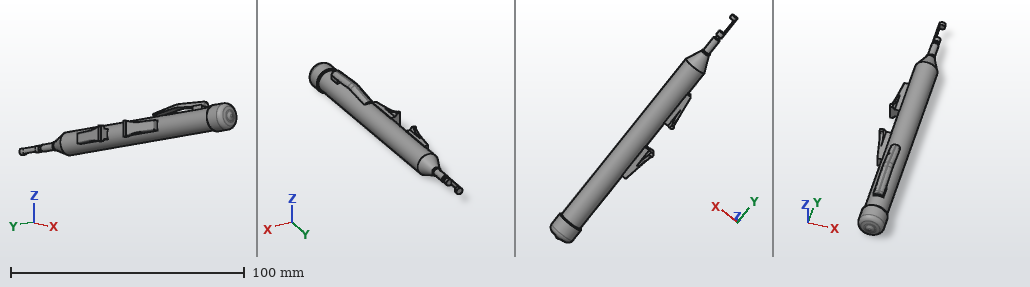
import cadquery as cq
import math

total_length = 123.5

barrel_radius = 5.1
barrel_front = 96.0
nose_front = 103.0
collar_radius = 2.0
collar_length = 0.7
shaft_radius = 1.6
shaft_front = 111.3
shaft_chamfer = 0.4

neck_rear_radius = 0.7
neck_front_radius = 1.1
probe_radius = 1.5
probe_rear = 112.4
cutout_rear = 114.6
cutout_front = 121.9
cutout_wall = 0.6

cap_radius = 5.8
cap_front = 9.6
cap_chamfer = 0.4
cap_round_start = 3.6
cap_round_radius = 2.5
cap_round_angle = math.radians(68)
cap_rim_radius = 2.7
cap_rim_height = 1.0
button_radius = 2.1
button_height = 0.9
button_tip_radius = 0.6
button_tip_height = 0.19

trigger_length = 16.0
trigger_toe = 6.8
trigger_lip_length = 1.5
trigger_lip_step = 0.4
trigger_lip_chamfer = 0.4
trigger_stem_half_width = 2.2
trigger_head_half_width = 3.5
trigger_flare_depth = 1.0
trigger_edge_round = 0.4
trigger_flare_length = 8.6
front_trigger_heel = 68.4
front_trigger_reach = 9.0
front_trigger_flare = 6.7
rear_trigger_heel = 55.1
rear_trigger_reach = cap_radius + 3.8
rear_trigger_flare = 6.9

clip_half_width = 2.2
clip_flat_half_width = 0.2
clip_top_height = 8.9
clip_ridge = 30.6
clip_ridge_radius = 10.7
clip_front = 45.0
clip_front_height = 6.4
clip_front_thickness = 1.2
clip_front_rake = 0.7
clip_rear = 15.2
clip_rear_height = 8.0
clip_rear_thickness = 2.2
clip_ridge_thickness = 1.9
clip_end_round = 0.7
clip_foot_front = 21.0
clip_foot_rear = 15.6
clip_foot_overlap = 0.6


def turned_body():
    """Cap, barrel, nose, shaft and probe as one revolved profile of (radius, Y)."""
    round_center = cap_radius - cap_round_radius

    def cap_round_point(angle):
        return (
            round_center + cap_round_radius * math.cos(angle),
            cap_round_start - cap_round_radius * math.sin(angle),
        )

    profile = (
        cq.Workplane("XY")
        .moveTo(0, 0)
        .lineTo(button_tip_radius, button_tip_height)
        .lineTo(button_radius, button_height)
        .lineTo(cap_rim_radius, cap_rim_height)
        .lineTo(*cap_round_point(cap_round_angle))
        .threePointArc(cap_round_point(cap_round_angle / 2), cap_round_point(0))
        .lineTo(cap_radius, cap_front - cap_chamfer)
        .lineTo(cap_radius - cap_chamfer, cap_front)
        .lineTo(barrel_radius, cap_front)
        .lineTo(barrel_radius, barrel_front)
        .lineTo(collar_radius, nose_front)
        .lineTo(collar_radius, nose_front + collar_length)
        .lineTo(shaft_radius, nose_front + collar_length)
        .lineTo(shaft_radius, shaft_front - shaft_chamfer)
        .lineTo(shaft_radius - shaft_chamfer, shaft_front)
        .lineTo(neck_rear_radius, shaft_front)
        .lineTo(neck_front_radius, probe_rear)
        .lineTo(probe_radius, probe_rear)
        .lineTo(probe_radius, total_length)
        .lineTo(0, total_length)
        .close()
    )
    return profile.revolve(360, (0, 0, 0), (0, 1, 0))


def probe_cutout():
    """Box that leaves a thin wall on the -X side between the two probe ends."""
    return cq.Workplane("XY").box(
        2 * probe_radius,
        cutout_front - cutout_rear,
        2 * probe_radius,
        centered=(False, False, True),
    ).translate((cutout_wall - probe_radius, cutout_rear, 0))


def trigger(heel_y, toe_direction, reach, flare_start):
    """Wedge whose high, wide heel is at heel_y and whose low, narrow toe points along Y."""

    def along(distance):
        return heel_y + toe_direction * distance

    wedge = (
        cq.Workplane("XY")
        .polyline(
            [
                (0, along(0)),
                (trigger_lip_chamfer - reach, along(0)),
                (-reach, along(trigger_lip_chamfer)),
                (-reach, along(trigger_lip_length)),
                (trigger_lip_step - reach, along(trigger_lip_length + trigger_lip_step)),
                (-trigger_toe, along(trigger_length)),
                (0, along(trigger_length)),
            ]
        )
        .close()
        .extrude(trigger_head_half_width, both=True)
    )

    stem = trigger_stem_half_width
    head = trigger_head_half_width
    flare_end = flare_start + trigger_flare_depth
    section = (
        cq.Workplane("XZ", origin=(0, min(along(0), along(trigger_length)), 0))
        .polyline(
            [
                (0, stem),
                (-flare_start, stem),
                (-flare_end, head),
                (-reach, head),
                (-reach, -head),
                (-flare_end, -head),
                (-flare_start, -stem),
                (0, -stem),
            ]
        )
        .close()
        .extrude(-trigger_length)
    )

    flare_width = head - stem
    arc_run = trigger_flare_length - trigger_lip_length
    arc_radius = (arc_run**2 + flare_width**2) / (2 * flare_width)
    arc_half_run = arc_run / 2
    arc_half_width = stem + arc_radius - math.sqrt(arc_radius**2 - arc_half_run**2)
    outline = (
        cq.Workplane("YZ")
        .moveTo(along(0), -head)
        .lineTo(along(0), head)
        .lineTo(along(trigger_lip_length), head)
        .threePointArc(
            (along(trigger_flare_length - arc_half_run), arc_half_width),
            (along(trigger_flare_length), stem),
        )
        .lineTo(along(trigger_length), stem)
        .lineTo(along(trigger_length), -stem)
        .lineTo(along(trigger_flare_length), -stem)
        .threePointArc(
            (along(trigger_flare_length - arc_half_run), -arc_half_width),
            (along(trigger_lip_length), -head),
        )
        .close()
        .extrude(-reach)
    )
    body = wedge.intersect(section).intersect(outline)

    thumb_face = cq.selectors.NearestToPointSelector(
        (-(reach + trigger_toe) / 2, along(trigger_length / 2), 0)
    )
    lip_edge = "<Y" if toe_direction > 0 else ">Y"
    return body.faces(thumb_face).edges(f"not {lip_edge}").fillet(trigger_edge_round)


def clip():
    """Bent spring arm with an arched top, standing on a foot near its rear end."""
    rear_angle = math.atan2(clip_top_height - clip_rear_height, clip_ridge - clip_rear)
    front_angle = math.atan2(clip_top_height - clip_front_height, clip_front - clip_ridge)
    ridge_center = clip_top_height - clip_ridge_radius

    def ridge_point(angle, depth=0.0):
        radius = clip_ridge_radius - depth
        return (clip_ridge + radius * math.sin(angle), ridge_center + radius * math.cos(angle))

    rear_top = (clip_rear, ridge_point(-rear_angle)[1]
                - (ridge_point(-rear_angle)[0] - clip_rear) * math.tan(rear_angle))
    front_top = (clip_front, ridge_point(front_angle)[1]
                 - (clip_front - ridge_point(front_angle)[0]) * math.tan(front_angle))
    arm_underside = rear_top[1] - clip_rear_thickness

    side = (
        cq.Workplane("YZ")
        .moveTo(*rear_top)
        .lineTo(*ridge_point(-rear_angle))
        .threePointArc(ridge_point(0), ridge_point(front_angle))
        .lineTo(*front_top)
        .lineTo(clip_front - clip_front_rake, front_top[1] - clip_front_thickness)
        .lineTo(*ridge_point(front_angle, clip_ridge_thickness))
        .threePointArc(
            ridge_point(0, clip_ridge_thickness), ridge_point(-rear_angle, clip_ridge_thickness)
        )
        .lineTo(clip_rear, arm_underside)
        .close()
        .extrude(clip_half_width, both=True)
    )

    path = (
        cq.Workplane("YZ")
        .moveTo(*rear_top)
        .lineTo(*ridge_point(-rear_angle))
        .threePointArc(ridge_point(0), ridge_point(front_angle))
        .lineTo(*front_top)
    )
    arch_radius = clip_half_width - clip_flat_half_width
    arch_mid_x = clip_flat_half_width + arch_radius * math.sin(math.pi / 4)
    arch_mid_z = arch_radius * (math.cos(math.pi / 4) - 1)
    section_depth = 2 * clip_rear_thickness
    arch = (
        cq.Workplane("XZ", origin=(0, rear_top[0], rear_top[1]))
        .moveTo(-clip_flat_half_width, 0)
        .lineTo(clip_flat_half_width, 0)
        .threePointArc((arch_mid_x, arch_mid_z), (clip_half_width, -arch_radius))
        .lineTo(clip_half_width, -section_depth)
        .lineTo(-clip_half_width, -section_depth)
        .lineTo(-clip_half_width, -arch_radius)
        .threePointArc((-arch_mid_x, arch_mid_z), (-clip_flat_half_width, 0))
        .close()
        .sweep(path)
    )
    arm = side.intersect(arch).faces("<Y").edges("not <Z").fillet(clip_end_round)

    foot = cq.Workplane("XY").box(
        2 * clip_half_width,
        clip_foot_front - clip_foot_rear,
        arm_underside + clip_foot_overlap,
        centered=(True, False, False),
    ).translate((0, clip_foot_rear, 0))
    return arm.union(foot)


result = (
    turned_body()
    .cut(probe_cutout())
    .union(trigger(front_trigger_heel, 1, front_trigger_reach, front_trigger_flare))
    .union(trigger(rear_trigger_heel, -1, rear_trigger_reach, rear_trigger_flare))
    .union(clip())
)